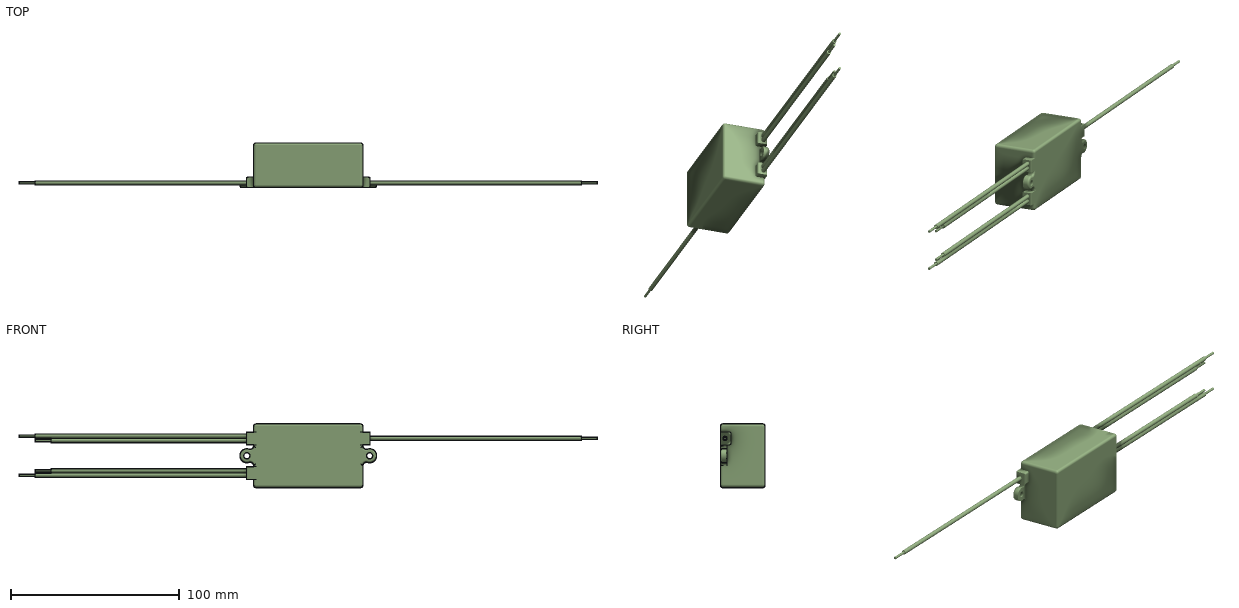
import cadquery as cq
import math

body_length = 65.0
body_depth = 26.5
body_height = 38.0
side_edge_radius = 1.75
face_edge_radius = 1.5

ear_thickness = 3.8
ear_radius = 4.2
ear_hole_diameter = 3.5
ear_hole_x = 36.4
ear_neck_radius = 2.0
ear_edge_radius = 1.2

outlet_reach = 36.7
outlet_height = 7.6
outlet_depth = 6.3
outlet_edge_radius = 1.0
outlet_z = 10.3

wire_diameter = 2.6
core_diameter = 1.5
wire_y = 2.75
insulation_end_x = 162.0
overall_length = 343.0
wire_length = insulation_end_x - outlet_reach
core_length = overall_length / 2 - insulation_end_x
pair_gap = 0.1
pair_offset = (wire_diameter + pair_gap) / 2

inside_x = body_length / 2 - 2 * side_edge_radius

END_SIDES = (-1, 1)
OUTLETS = ((-1, outlet_z), (-1, -outlet_z), (1, outlet_z))


def box_between(x_range, y_range, z_range):
    """Axis-aligned box spanning the given ranges."""
    size = [high - low for low, high in (x_range, y_range, z_range)]
    corner = (x_range[0], y_range[0], z_range[0])
    return cq.Workplane("XY").box(*size, centered=False).translate(corner)


def body_block():
    """Main box with its edges rounded."""
    half_length = body_length / 2
    half_height = body_height / 2
    block = box_between((-half_length, half_length), (0, body_depth), (-half_height, half_height))
    block = block.edges("|Y").fillet(side_edge_radius)
    return block.faces("<Y or >Y").edges().fillet(face_edge_radius)


def ear():
    """Rounded ear on the +X end, with concave necks running into the housing."""
    half_length = body_length / 2
    neck_x = half_length + ear_neck_radius
    centre_gap = ear_radius + ear_neck_radius
    neck_z = math.sqrt(centre_gap**2 - (ear_hole_x - neck_x) ** 2)
    share = ear_radius / centre_gap
    touch_x = ear_hole_x + share * (neck_x - ear_hole_x)
    touch_z = share * neck_z
    diagonal = ear_neck_radius * math.sqrt(0.5)
    outline = (
        cq.Workplane("XZ")
        .moveTo(inside_x, -neck_z)
        .lineTo(half_length, -neck_z)
        .threePointArc((neck_x - diagonal, -neck_z + diagonal), (touch_x, -touch_z))
        .threePointArc((ear_hole_x + ear_radius, 0), (touch_x, touch_z))
        .threePointArc((neck_x - diagonal, neck_z - diagonal), (half_length, neck_z))
        .lineTo(inside_x, neck_z)
        .close()
    )
    plate = outline.extrude(-ear_thickness)
    return plate.faces("<Y").edges().fillet(ear_edge_radius)


def outlet(side, z):
    """Cable outlet block on one end of the housing, rounded at the back and along its outer end."""
    half_height = outlet_height / 2
    block = box_between((inside_x, outlet_reach), (0, outlet_depth), (-half_height, half_height))
    block = block.edges(">Y or (>X and |Z)").fillet(outlet_edge_radius)
    if side < 0:
        block = block.mirror("YZ")
    return block.translate((0, 0, z))


def make_housing():
    """Housing box with its ears, mounting holes and cable outlets."""
    housing = body_block()
    right_ear = ear()
    housing = housing.union(right_ear).union(right_ear.mirror("YZ"))
    for side, z in OUTLETS:
        housing = housing.union(outlet(side, z))
    hole_centres = [(side * ear_hole_x, 0) for side in END_SIDES]
    holes = (
        cq.Workplane("XZ").pushPoints(hole_centres).circle(ear_hole_diameter / 2).extrude(-ear_thickness)
    )
    return housing.cut(holes)


def make_wire(side, z, setback=0.0):
    """Insulated wire with a bare core end, starting at the outer face of an outlet."""
    start = cq.Workplane("YZ", origin=(side * outlet_reach, wire_y, z))
    insulation_length = wire_length - setback
    insulation = start.circle(wire_diameter / 2).extrude(side * insulation_length)
    core = start.circle(core_diameter / 2).extrude(side * (insulation_length + core_length))
    return insulation.union(core)


housing = make_housing()

wires = [make_wire(1, outlet_z)]
for outlet_side in END_SIDES:
    centre_z = outlet_side * outlet_z
    wires.append(make_wire(-1, centre_z + outlet_side * pair_offset))
    wires.append(make_wire(-1, centre_z - outlet_side * pair_offset, core_length))

result = cq.Compound.makeCompound([housing.val(), *[wire.val() for wire in wires]])